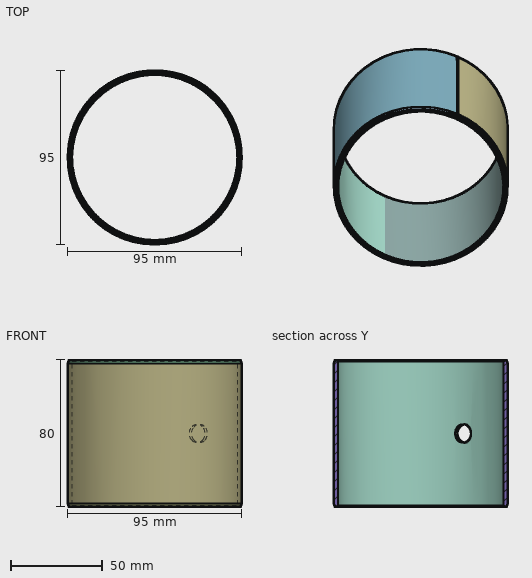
import cadquery as cq

outer_diameter = 95.0
wall = 2.5
length = 80.0
outer_radius = outer_diameter / 2
inner_radius = outer_radius - wall

bevel_depth = 0.7
bevel_height = 1.8

bore_bevel = 0.8

slit_width = 0.95
slit_center_y = 0.5

hole_diameter = 10.0
hole_angle = 59.0


def sleeve():
    """Revolve the wall section, including its rim bevels."""
    section = [
        (inner_radius + bore_bevel, 0),
        (outer_radius - bevel_depth, 0),
        (outer_radius, bevel_height),
        (outer_radius, length - bevel_height),
        (outer_radius - bevel_depth, length),
        (inner_radius + bore_bevel, length),
        (inner_radius, length - bore_bevel),
        (inner_radius, bore_bevel),
    ]
    return cq.Workplane("XZ").polyline(section).close().revolve(360, (0, 0), (0, 1))


def slit_cutter():
    """Thin slab running from the axis out through the -X wall."""
    return (
        cq.Workplane("XY")
        .center(-outer_radius, slit_center_y)
        .rect(outer_diameter, slit_width)
        .extrude(length)
    )


def oil_hole_cutter():
    """Cylinder running from the axis out through one side of the wall."""
    return (
        cq.Workplane("YZ")
        .center(0, length / 2)
        .circle(hole_diameter / 2)
        .extrude(outer_diameter)
        .rotate((0, 0, 0), (0, 0, 1), hole_angle)
    )


result = sleeve().cut(slit_cutter()).cut(oil_hole_cutter())